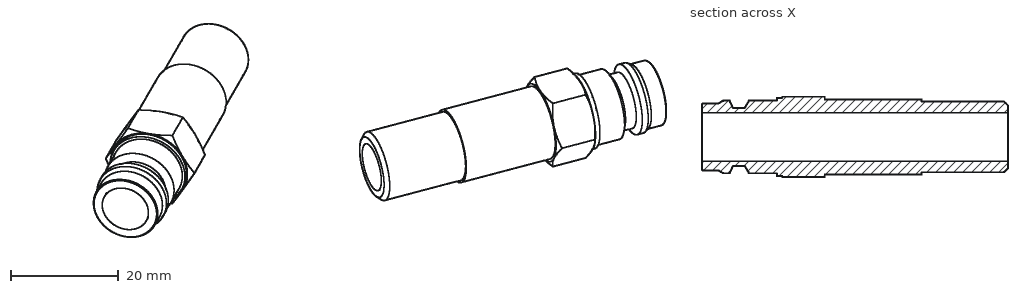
import cadquery as cq
import math

total_length = 57.0
nose_chamfer = 0.15
nose_end = 3.15
ring_start = 4.0
ring_end = 5.2
groove_start = 5.8
groove_end = 8.0
body_start = 8.8
collar_start = 13.95
hex_start = 14.95
hex_end = 22.9
rear_start = 40.85
rear_chamfer_length = 0.8
rear_chamfer_depth = 0.8

nose_diameter = 12.55
ring_diameter = 13.55
groove_diameter = 10.85
collar_diameter = 14.6
middle_diameter = 14.0
rear_diameter = 13.2
bore_diameter = 9.0
hex_across_flats = 15.0
hex_chamfer_angle = 30.0

hex_across_corners = hex_across_flats / math.cos(math.radians(30))
hex_length = hex_end - hex_start
front_y = -total_length / 2


def revolve_profile(points):
    """Revolve a closed (radius, station) outline around the Y axis."""
    placed = [(radius, front_y + station) for radius, station in points]
    return cq.Workplane("XY").polyline(placed).close().revolve(360, (0, 0, 0), (0, 1, 0))


def make_turned_body():
    nose = nose_diameter / 2
    ring = ring_diameter / 2
    groove = groove_diameter / 2
    collar = collar_diameter / 2
    middle = middle_diameter / 2
    rear = rear_diameter / 2
    return revolve_profile([
        (0, 0),
        (nose - nose_chamfer, 0),
        (nose, nose_chamfer),
        (nose, nose_end),
        (ring, ring_start),
        (ring, ring_end),
        (groove, groove_start),
        (groove, groove_end),
        (ring, body_start),
        (ring, collar_start),
        (collar, collar_start),
        (collar, hex_start),
        (middle, hex_start),
        (middle, rear_start),
        (rear, rear_start),
        (rear, total_length - rear_chamfer_length),
        (rear - rear_chamfer_depth, total_length),
        (0, total_length),
    ])


def make_hex():
    """Hexagon with flats facing +Z and -Z and corners turned down at both ends."""
    prism = (
        cq.Workplane("XZ", origin=(0, front_y + hex_start, 0))
        .polygon(6, hex_across_corners)
        .extrude(-hex_length)
    )
    face_radius = hex_across_flats / 2
    corner_radius = hex_across_corners / 2
    chamfer_length = (corner_radius - face_radius) * math.tan(math.radians(hex_chamfer_angle))
    envelope = revolve_profile([
        (0, hex_start),
        (face_radius, hex_start),
        (corner_radius, hex_start + chamfer_length),
        (corner_radius, hex_end - chamfer_length),
        (face_radius, hex_end),
        (0, hex_end),
    ])
    return prism.intersect(envelope)


def make_bore():
    return cq.Workplane("XZ", origin=(0, front_y, 0)).circle(bore_diameter / 2).extrude(-total_length)


result = make_turned_body().union(make_hex()).cut(make_bore())